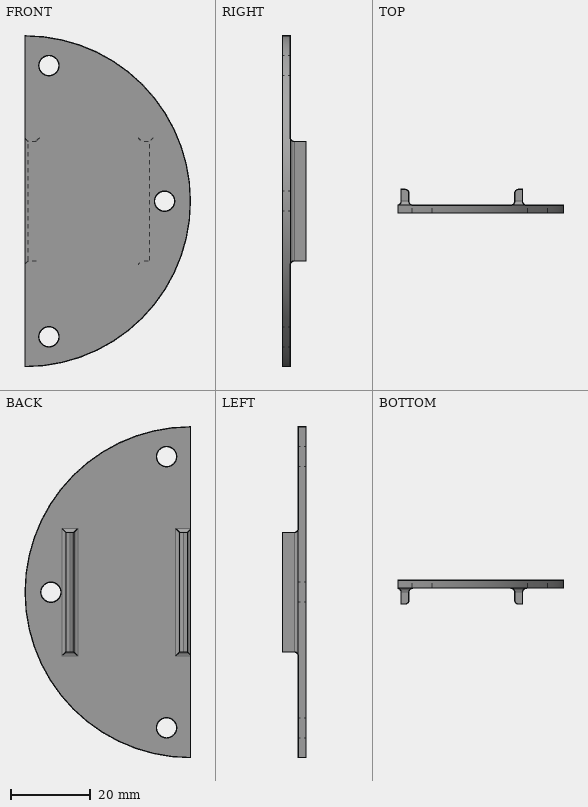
import cadquery as cq

disc_radius = 41.5
plate_thickness = 2.0

hole_diameter = 5.0
outer_hole_x = 6.0
outer_hole_z = 34.0
middle_hole_x = 35.0
hole_centres = [
    (outer_hole_x, outer_hole_z),
    (middle_hole_x, 0.0),
    (outer_hole_x, -outer_hole_z),
]

rib_length = 30.0
rib_height = 4.0
rib_thickness = 2.0
flat_edge_rib_x = 0.75
inner_rib_x = 29.25
rib_tip_radius = 1.0
rib_root_radius = 1.0


def make_disc():
    """Full disc from Y = 0 to Y = plate_thickness."""
    return cq.Workplane("XZ").circle(disc_radius).extrude(-plate_thickness)


def make_rib(start_x, rounded_side):
    """Rib along Z, with one tip edge rounded on the "<X" or ">X" side."""
    rib = cq.Workplane("XY").box(
        rib_thickness, plate_thickness + rib_height, rib_length, centered=(False, False, True)
    )
    rib = rib.faces(">Y").edges(rounded_side).fillet(rib_tip_radius)
    return rib.translate((start_x, 0, 0))


def round_rib_root(body, start_x):
    """Fillet the four edges where a rib meets the plate."""
    margin = rib_root_radius / 2
    root_edges = cq.selectors.BoxSelector(
        (start_x - margin, plate_thickness - margin, -rib_length),
        (start_x + rib_thickness + margin, plate_thickness + margin, rib_length),
    )
    return body.edges(root_edges).fillet(rib_root_radius)


def make_holes():
    """Cylinders through the plate at every hole centre."""
    return (
        cq.Workplane("XZ")
        .pushPoints(hole_centres)
        .circle(hole_diameter / 2)
        .extrude(-plate_thickness)
    )


def keep_positive_x_half(body):
    """Trim the body to X >= 0, leaving the flat edge."""
    side = 2 * disc_radius
    half_space = cq.Workplane("XY").box(side, side, side, centered=(False, True, True))
    return body.intersect(half_space)


body = make_disc()
body = body.union(make_rib(flat_edge_rib_x, ">X"))
body = body.union(make_rib(inner_rib_x, "<X"))
for rib_x in (flat_edge_rib_x, inner_rib_x):
    body = round_rib_root(body, rib_x)

body = keep_positive_x_half(body)
result = body.cut(make_holes())